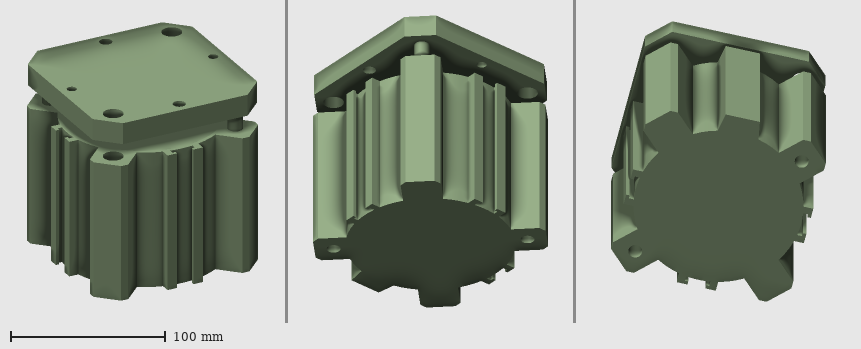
import cadquery as cq
import math

TOTAL_HEIGHT = 127.5
PLATE_THICKNESS = 15.0
STROKE_GAP = 15.5
PLATE_BOTTOM = TOTAL_HEIGHT - PLATE_THICKNESS
HOUSING_HEIGHT = PLATE_BOTTOM - STROKE_GAP

SIDE = 120.0
HALF_SIDE = SIDE / 2

BARREL_DIAMETER = 110.0
POST_CHAMFER = 13.3
POST_REACH = 18.4
POST_BACK_REACH = 31.5

RAIL_WIDTH = 25.8
SLOT_OPENING = 12.0
SLOT_UNDERCUT = 16.3
SLOT_LIP = 2.3

TOTAL_DEPTH = 126.0
BLOCK_REACH = TOTAL_DEPTH - HALF_SIDE
BLOCK_OUTER_WIDTH = 22.8
BLOCK_INNER_WIDTH = 27.2

RECESS_DIAMETER = 105.0
RECESS_DEPTH = 0.5
COLLAR_DIAMETER = 55.0
COLLAR_HEIGHT = 7.5
COLLAR_CHAMFER = 0.5

ROD_DIAMETER = 25.0
ROD_FLAT_WIDTH = 22.0
ROD_FLAT_HEIGHT = 5.4
ROD_CHAMFER = 0.5

DIAGONAL_OFFSET = 44.5
GUIDE_ROD_DIAMETER = 10.0
MOUNT_BORE_DIAMETER = 9.0
MOUNT_COUNTERBORE_DIAMETER = 13.5
MOUNT_COUNTERBORE_DEPTH = 8.5

PLATE_CHAMFER = 14.5
PLATE_HOLE_OFFSET = 51.5
X_HOLE_DIAMETER = 8.5
Y_HOLE_DIAMETER = 6.6

GUIDE_ROD_POINTS = [(-DIAGONAL_OFFSET, -DIAGONAL_OFFSET), (DIAGONAL_OFFSET, DIAGONAL_OFFSET)]
MOUNT_POINTS = [(-DIAGONAL_OFFSET, DIAGONAL_OFFSET), (DIAGONAL_OFFSET, -DIAGONAL_OFFSET)]


def cylinder(diameter, bottom, height):
    """Upright cylinder on the Z axis."""
    return cq.Workplane("XY").workplane(offset=bottom).circle(diameter / 2).extrude(height)


def centred_box(width, depth, height):
    """Box standing on Z = 0 and centred on the Z axis."""
    return cq.Workplane("XY").box(width, depth, height, centered=(True, True, False))


def corner_post():
    """Post on the +X +Y corner with a 45 degree outer face and 45 degree flanks."""
    near = HALF_SIDE - POST_REACH
    back = HALF_SIDE - POST_BACK_REACH
    flank_end = HALF_SIDE - (near - back)
    outer = HALF_SIDE - POST_CHAMFER
    return (
        cq.Workplane("XY")
        .polyline([
            (back, back),
            (flank_end, back),
            (HALF_SIDE, near),
            (HALF_SIDE, outer),
            (outer, HALF_SIDE),
            (near, HALF_SIDE),
            (back, flank_end),
        ])
        .close()
        .extrude(HOUSING_HEIGHT)
    )


def t_slot_rail():
    """Rail on the +X side, with a T-slot whose floor is the barrel."""
    rail = cq.Workplane("XY").box(HALF_SIDE, RAIL_WIDTH, HOUSING_HEIGHT, centered=(False, True, False))
    opening = centred_box(SIDE, SLOT_OPENING, HOUSING_HEIGHT)
    undercut = centred_box(SIDE - 2 * SLOT_LIP, SLOT_UNDERCUT, HOUSING_HEIGHT)
    return rail.cut(opening).cut(undercut)


def connector_block():
    """Tapered block reaching out of the barrel on the +Y side."""
    inner_y = math.sqrt(BARREL_DIAMETER**2 - BLOCK_INNER_WIDTH**2) / 2
    return (
        cq.Workplane("XY")
        .polyline([
            (-BLOCK_INNER_WIDTH / 2, 0),
            (BLOCK_INNER_WIDTH / 2, 0),
            (BLOCK_INNER_WIDTH / 2, inner_y),
            (BLOCK_OUTER_WIDTH / 2, BLOCK_REACH),
            (-BLOCK_OUTER_WIDTH / 2, BLOCK_REACH),
            (-BLOCK_INNER_WIDTH / 2, inner_y),
        ])
        .close()
        .extrude(HOUSING_HEIGHT)
    )


def make_housing():
    housing = cylinder(BARREL_DIAMETER, 0, HOUSING_HEIGHT)
    for angle in (0, 90, 180, 270):
        housing = housing.union(corner_post().rotate((0, 0, 0), (0, 0, 1), angle))
    for angle in (0, 180, 270):
        housing = housing.union(t_slot_rail().rotate((0, 0, 0), (0, 0, 1), angle))
    housing = housing.union(connector_block())

    recess_floor = HOUSING_HEIGHT - RECESS_DEPTH
    housing = housing.cut(cylinder(RECESS_DIAMETER, recess_floor, RECESS_DEPTH))
    collar = cylinder(COLLAR_DIAMETER, recess_floor, COLLAR_HEIGHT + RECESS_DEPTH)
    housing = housing.union(collar.faces(">Z").chamfer(COLLAR_CHAMFER))

    return (
        housing.faces(">Z")
        .workplane(origin=(0, 0, HOUSING_HEIGHT), offset=-COLLAR_HEIGHT)
        .pushPoints(MOUNT_POINTS)
        .cboreHole(MOUNT_BORE_DIAMETER, MOUNT_COUNTERBORE_DIAMETER, MOUNT_COUNTERBORE_DEPTH)
    )


def make_piston_rod():
    """Rod from the collar to the plate, with a flat on its -X and +X sides at the top."""
    collar_top = HOUSING_HEIGHT + COLLAR_HEIGHT
    rod = cylinder(ROD_DIAMETER, collar_top, PLATE_BOTTOM - collar_top)
    rod = rod.faces(">Z").chamfer(ROD_CHAMFER)
    for side in (-1, 1):
        cutter_x = side * (ROD_FLAT_WIDTH + ROD_DIAMETER) / 2
        cutter = centred_box(ROD_DIAMETER, ROD_DIAMETER, ROD_FLAT_HEIGHT)
        rod = rod.cut(cutter.translate((cutter_x, 0, PLATE_BOTTOM - ROD_FLAT_HEIGHT)))
    return rod


def make_plate_and_rods():
    plate = (
        centred_box(SIDE, SIDE, PLATE_THICKNESS)
        .edges("|Z")
        .chamfer(PLATE_CHAMFER)
        .translate((0, 0, PLATE_BOTTOM))
    )
    hole_sets = [
        (MOUNT_COUNTERBORE_DIAMETER, MOUNT_POINTS),
        (X_HOLE_DIAMETER, [(-PLATE_HOLE_OFFSET, 0), (PLATE_HOLE_OFFSET, 0)]),
        (Y_HOLE_DIAMETER, [(0, -PLATE_HOLE_OFFSET), (0, PLATE_HOLE_OFFSET)]),
    ]
    for diameter, points in hole_sets:
        plate = plate.faces(">Z").workplane(origin=(0, 0, TOTAL_HEIGHT)).pushPoints(points).hole(diameter)

    guide_rods = (
        cq.Workplane("XY")
        .workplane(offset=HOUSING_HEIGHT)
        .pushPoints(GUIDE_ROD_POINTS)
        .circle(GUIDE_ROD_DIAMETER / 2)
        .extrude(STROKE_GAP)
    )
    return plate.union(make_piston_rod()).union(guide_rods)


housing = make_housing()
plate_and_rods = make_plate_and_rods()

result = cq.Compound.makeCompound([housing.val(), plate_and_rods.val()])